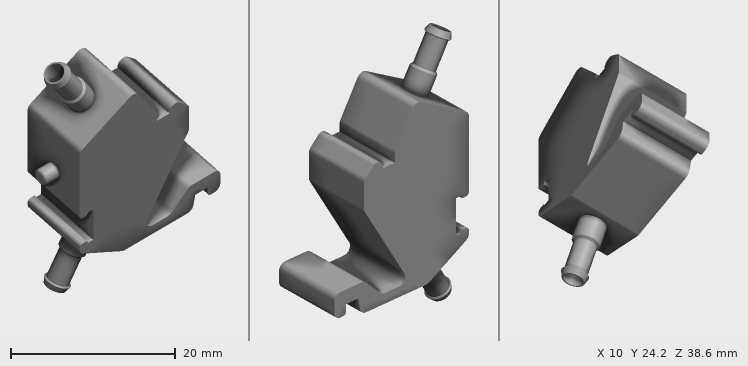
import cadquery as cq
import math

BODY_WIDTH = 10.0
BODY_DEPTH = 22.0
CORNER_RADIUS = 1.0
SHARP = 0.0

SLOPE_ANGLE = 30.0
NOZZLE_MID_HEIGHT = 12.73
SLOPE_FRONT_OFFSET = 8.82
SLOPE_DEPTH = 8.68

CHANNEL_BOTTOM = 5.0
CHANNEL_TOP = 10.27
CHANNEL_DEPTH = 2.12
LIP_HEIGHT = 0.42
LIP_TIP_DEPTH = 1.08
LIP_ROOT_DEPTH = 1.33
LIP_RADIUS = 0.5

HOOK_BACK = 17.13
HOOK_TOP = 20.39
HOOK_TOP_RADIUS = 0.7
HOOK_TOP_FLAT = 0.01
HOOK_CHAMFER_ANGLE = 45.0
HOOK_NOTCH_FRONT = 12.12
HOOK_NOTCH_BACK = 14.06
HOOK_NOTCH_FLOOR = 19.22
HOOK_BACK_BOTTOM = 14.4

ARM_TOP = 4.5
ARM_RAMP_TOP_DEPTH = 17.15
ARM_FLOOR = 1.5
ARM_SLOT_CEILING = 2.44
ARM_SLOT_BACK = 20.06
ARM_SLOT_FRONT = 18.08
ARM_SLOT_DRAFT = 10.0
ARM_TIP_BOTTOM = 0.92
ARM_TIP_RADIUS = 0.5

PIN_DIAMETER = 2.2
PIN_LENGTH = 2.2
PIN_HEIGHT = 14.5
PIN_END_RADIUS = 0.4

NOZZLE_LENGTH = 8.375
NOZZLE_BORE_RADIUS = 2.5 / 2
NOZZLE_TUBE_RADIUS = 3.0 / 2
SHOULDER_RADIUS = 3.6 / 2
SHOULDER_LENGTH = 3.2
SHOULDER_CHAMFER = 0.3
BARB_START = 7.4
BARB_HEEL_RADIUS = 1.65
BARB_MAX_RADIUS = 1.77
BARB_MAX_POSITION = 7.52
NOZZLE_TIP_RADIUS = 1.45


def offset_toward(start, end, distance):
    """Point at the given distance from start in the direction of end."""
    length = math.dist(start, end)
    return tuple(s + (e - s) * distance / length for s, e in zip(start, end))


def rounded_outline(plane, corners):
    """Closed outline through (y, z, radius) corners, each rounded with its own radius."""
    outline = cq.Workplane(plane)
    started = False
    for index, (y, z, radius) in enumerate(corners):
        corner = (y, z)
        before = corners[index - 1][:2]
        after = corners[(index + 1) % len(corners)][:2]
        toward_before = offset_toward(corner, before, 1.0)
        toward_after = offset_toward(corner, after, 1.0)
        half_angle = math.asin(math.dist(toward_before, toward_after) / 2)
        tangent_length = radius / math.tan(half_angle)
        arc_start = offset_toward(corner, before, tangent_length)
        outline = outline.lineTo(*arc_start) if started else outline.moveTo(*arc_start)
        started = True
        if radius > SHARP:
            bisector_point = tuple((b + a) / 2 for b, a in zip(toward_before, toward_after))
            arc_middle_distance = radius / math.sin(half_angle) - radius
            arc_middle = offset_toward(corner, bisector_point, arc_middle_distance)
            arc_end = offset_toward(corner, after, tangent_length)
            outline = outline.threePointArc(arc_middle, arc_end)
    return outline.close()


def make_body():
    slope = math.tan(math.radians(SLOPE_ANGLE))
    upper_slope_front = NOZZLE_MID_HEIGHT + SLOPE_FRONT_OFFSET
    lower_slope_front = NOZZLE_MID_HEIGHT - SLOPE_FRONT_OFFSET
    apex_height = upper_slope_front + SLOPE_DEPTH * slope
    flank_foot = apex_height - (HOOK_NOTCH_FRONT - SLOPE_DEPTH) / slope
    chamfer_tangent = HOOK_TOP_RADIUS * math.tan(math.radians(HOOK_CHAMFER_ANGLE / 2))
    hook_top_back = HOOK_NOTCH_BACK + CORNER_RADIUS + chamfer_tangent + HOOK_TOP_FLAT
    hook_chamfer_drop = (HOOK_BACK - hook_top_back) * math.tan(math.radians(HOOK_CHAMFER_ANGLE))
    undercut_foot_depth = HOOK_BACK - (HOOK_BACK_BOTTOM - ARM_FLOOR) * slope
    ramp_foot_depth = ARM_RAMP_TOP_DEPTH - (ARM_TOP - ARM_FLOOR)
    slot_foot_depth = ARM_SLOT_FRONT - ARM_SLOT_CEILING * math.tan(math.radians(ARM_SLOT_DRAFT))

    front = [
        (0, upper_slope_front, CORNER_RADIUS),
        (0, CHANNEL_TOP - LIP_HEIGHT, LIP_RADIUS),
        (LIP_TIP_DEPTH, CHANNEL_TOP - LIP_HEIGHT, SHARP),
        (LIP_ROOT_DEPTH, CHANNEL_TOP, SHARP),
        (CHANNEL_DEPTH, CHANNEL_TOP, SHARP),
        (CHANNEL_DEPTH, CHANNEL_BOTTOM, SHARP),
        (LIP_ROOT_DEPTH, CHANNEL_BOTTOM, SHARP),
        (LIP_TIP_DEPTH, CHANNEL_BOTTOM + LIP_HEIGHT, SHARP),
        (0, CHANNEL_BOTTOM + LIP_HEIGHT, LIP_RADIUS),
        (0, lower_slope_front, CORNER_RADIUS),
    ]
    arm = [
        (lower_slope_front / slope, 0, CORNER_RADIUS),
        (slot_foot_depth, 0, CORNER_RADIUS),
        (ARM_SLOT_FRONT, ARM_SLOT_CEILING, SHARP),
        (ARM_SLOT_BACK, ARM_SLOT_CEILING, SHARP),
        (ARM_SLOT_BACK, ARM_TIP_BOTTOM, ARM_TIP_RADIUS),
        (BODY_DEPTH, ARM_TIP_BOTTOM, CORNER_RADIUS),
        (BODY_DEPTH, ARM_TOP, CORNER_RADIUS),
        (ARM_RAMP_TOP_DEPTH, ARM_TOP, CORNER_RADIUS),
        (ramp_foot_depth, ARM_FLOOR, CORNER_RADIUS),
        (undercut_foot_depth, ARM_FLOOR, CORNER_RADIUS),
    ]
    hook = [
        (HOOK_BACK, HOOK_BACK_BOTTOM, CORNER_RADIUS),
        (HOOK_BACK, HOOK_TOP - hook_chamfer_drop, CORNER_RADIUS),
        (hook_top_back, HOOK_TOP, HOOK_TOP_RADIUS),
        (HOOK_NOTCH_BACK, HOOK_TOP, CORNER_RADIUS),
        (HOOK_NOTCH_BACK, HOOK_NOTCH_FLOOR, SHARP),
        (HOOK_NOTCH_FRONT, HOOK_NOTCH_FLOOR, SHARP),
        (HOOK_NOTCH_FRONT, flank_foot, CORNER_RADIUS),
        (SLOPE_DEPTH, apex_height, CORNER_RADIUS),
    ]
    outline = rounded_outline("YZ", front + arm + hook)
    return outline.extrude(BODY_WIDTH / 2, both=True)


def make_pin():
    """Pin with a rounded end edge, standing out of the front face toward -Y."""
    front_plane = cq.Plane(origin=(0, 0, PIN_HEIGHT), xDir=(1, 0, 0), normal=(0, -1, 0))
    pin = cq.Workplane(front_plane).circle(PIN_DIAMETER / 2).extrude(PIN_LENGTH)
    return pin.faces("<Y").edges().fillet(PIN_END_RADIUS)


def make_nozzle(side):
    """Barbed hollow nozzle on the upper (side = 1) or lower (side = -1) sloped face."""
    slope_angle = math.radians(SLOPE_ANGLE)
    base_depth = SLOPE_DEPTH / 2
    base_offset = SLOPE_FRONT_OFFSET + base_depth * math.tan(slope_angle)
    plane = cq.Plane(
        origin=(0, base_depth, NOZZLE_MID_HEIGHT + side * base_offset),
        xDir=(1, 0, 0),
        normal=(0, -math.sin(slope_angle), side * math.cos(slope_angle)),
    )
    section_plane = cq.Plane(origin=plane.origin, xDir=plane.xDir, normal=-plane.yDir)
    return (
        cq.Workplane(section_plane)
        .moveTo(NOZZLE_BORE_RADIUS, 0)
        .lineTo(SHOULDER_RADIUS, 0)
        .lineTo(SHOULDER_RADIUS, SHOULDER_LENGTH - SHOULDER_CHAMFER)
        .lineTo(SHOULDER_RADIUS - SHOULDER_CHAMFER, SHOULDER_LENGTH)
        .lineTo(NOZZLE_TUBE_RADIUS, BARB_START)
        .lineTo(BARB_HEEL_RADIUS, BARB_START)
        .lineTo(BARB_MAX_RADIUS, BARB_MAX_POSITION)
        .lineTo(NOZZLE_TIP_RADIUS, NOZZLE_LENGTH)
        .lineTo(NOZZLE_BORE_RADIUS, NOZZLE_LENGTH)
        .close()
        .revolve(360, (0, 0, 0), (0, 1, 0))
    )


result = make_body().union(make_pin())
for nozzle_side in (1, -1):
    result = result.union(make_nozzle(nozzle_side))